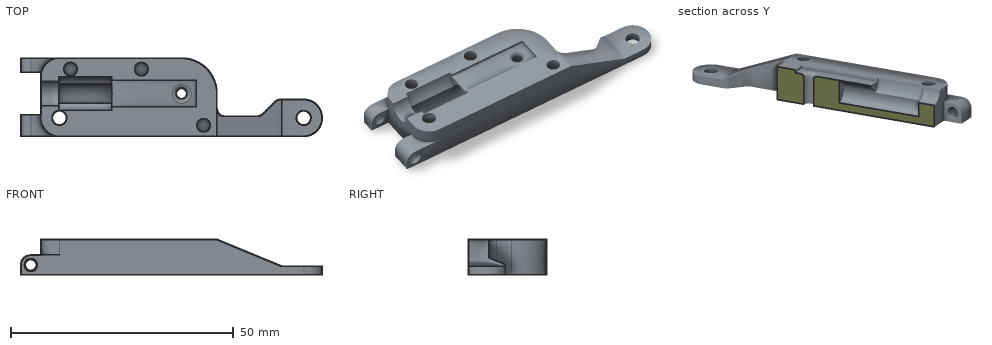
import cadquery as cq
import math

LENGTH = 67.86
WIDTH = 17.65
HEIGHT = 8.0

LUG_LENGTH = 4.5
LUG_HEIGHT = 4.5
LUG_RADIUS = LUG_HEIGHT / 2
FRONT_LUG_WIDTH = 4.9
REAR_LUG_WIDTH = 3.25
FRONT_HINGE_HOLE_DIAMETER = 2.85
REAR_HINGE_HOLE_DIAMETER = 2.5

BODY_LEFT = LUG_LENGTH
BODY_RIGHT = 44.17
RIGHT_CORNER_RADIUS = 8.0
LEFT_CORNER_RADIUS = 4.17

TIP_RADIUS = LEFT_CORNER_RADIUS
TIP_THICKNESS = 2.0
RAMP_END = 58.7
NECK_WIDTH = 4.57
NECK_FILLET = 1.7
NECK_BEND_RADIUS = 1.9
NECK_RISE_START = 54.0
NECK_RISE_ANGLE = 45.0

SCREW_HOLE_DIAMETER = 3.2
TIP_HOLE_X = LENGTH - TIP_RADIUS
SCREW_HOLE_SPACING = 55.0
SCREW_HOLES = [(TIP_HOLE_X - SCREW_HOLE_SPACING, TIP_RADIUS), (TIP_HOLE_X, TIP_RADIUS)]

SOCKET_DIAMETER = 3.0
SOCKET_DEPTH = 3.0
SOCKETS = [(11.2, 15.15), (27.15, 15.15), (41.15, 2.5)]

AXIS_Y = 9.65
ENTRY_RADIUS = 2.75
POCKET_START = 8.5
POCKET_END = 20.5
POCKET_RADIUS = 3.75
BORE_RADIUS = 2.275
BORE_HEIGHT = 4.2
BORE_PEAK_HEIGHT = 7.0
BORE_END = 28.5
CHANNEL_END = 39.5
CHANNEL_WIDTH = 6.0
CHANNEL_DEPTH = 0.7

PIN_X = 36.18
PIN_DIAMETER = 2.34
PIN_HOLE_LIP_RADIUS = 1.0


def box(x_range, y_range, z_range):
    """Axis-aligned box between the given limits."""
    size = [high - low for low, high in (x_range, y_range, z_range)]
    corner = (x_range[0], y_range[0], z_range[0])
    return cq.Workplane("XY").box(*size, centered=False).translate(corner)


def rod_along_x(radius, z, x_start, x_end):
    """Cylinder on the recess centre line at height z."""
    rod = cq.Workplane("YZ", origin=(x_start, AXIS_Y, z))
    return rod.circle(radius).extrude(x_end - x_start)


def make_side_profile():
    """Side outline (lug nose, body, ramp and arm), extruded over the full width."""
    nose = LUG_RADIUS * math.sqrt(0.5)
    return (
        cq.Workplane("XZ")
        .moveTo(0, 0)
        .lineTo(LENGTH, 0)
        .lineTo(LENGTH, TIP_THICKNESS)
        .lineTo(RAMP_END, TIP_THICKNESS)
        .lineTo(BODY_RIGHT, HEIGHT)
        .lineTo(BODY_LEFT, HEIGHT)
        .lineTo(BODY_LEFT, LUG_HEIGHT)
        .lineTo(LUG_RADIUS, LUG_HEIGHT)
        .threePointArc((LUG_RADIUS - nose, LUG_RADIUS + nose), (0, LUG_RADIUS))
        .close()
        .extrude(-WIDTH)
    )


def make_plan():
    """Plan outline (body with its large corner, neck and rounded tip), extruded to full height."""
    tip_width = 2 * TIP_RADIUS
    rise_run = (tip_width - NECK_WIDTH) / math.tan(math.radians(NECK_RISE_ANGLE))
    rise_end = NECK_RISE_START + rise_run
    plan = (
        cq.Workplane("XY")
        .moveTo(0, 0)
        .lineTo(TIP_HOLE_X, 0)
        .threePointArc((LENGTH, TIP_RADIUS), (TIP_HOLE_X, tip_width))
        .lineTo(rise_end, tip_width)
        .lineTo(NECK_RISE_START, NECK_WIDTH)
        .lineTo(BODY_RIGHT, NECK_WIDTH)
        .lineTo(BODY_RIGHT, WIDTH)
        .lineTo(0, WIDTH)
        .close()
        .extrude(HEIGHT)
    )

    def round_edge(solid, x, y, radius):
        picker = cq.selectors.NearestToPointSelector((x, y, HEIGHT / 2))
        return solid.edges("|Z").edges(picker).fillet(radius)

    plan = round_edge(plan, BODY_RIGHT, WIDTH, RIGHT_CORNER_RADIUS)
    plan = round_edge(plan, BODY_RIGHT, NECK_WIDTH, NECK_FILLET)
    plan = round_edge(plan, NECK_RISE_START, NECK_WIDTH, NECK_BEND_RADIUS)
    return round_edge(plan, rise_end, tip_width, NECK_BEND_RADIUS)


def round_left_corners(part):
    """Round the two left corners of the body above the lugs."""
    reach = LEFT_CORNER_RADIUS
    centre_x = BODY_LEFT + reach
    x_range = (BODY_LEFT, centre_x)
    z_range = (LUG_HEIGHT, HEIGHT)
    for edge_y, centre_y in ((0, reach), (WIDTH, WIDTH - reach)):
        corner = box(x_range, sorted((edge_y, centre_y)), z_range)
        post = cq.Workplane("XY", origin=(centre_x, centre_y, LUG_HEIGHT))
        rounding = post.circle(reach).extrude(HEIGHT - LUG_HEIGHT)
        part = part.cut(corner.cut(rounding))
    return part


def cut_hinge(part):
    """Open the gap between the lugs and drill the hinge pin hole."""
    gap = box((0, BODY_LEFT), (FRONT_LUG_WIDTH, WIDTH - REAR_LUG_WIDTH), (0, HEIGHT))
    pin_axis = cq.Workplane("XZ").center(LUG_RADIUS, LUG_RADIUS)
    rear_hole = pin_axis.circle(REAR_HINGE_HOLE_DIAMETER / 2).extrude(-WIDTH)
    front_hole = pin_axis.circle(FRONT_HINGE_HOLE_DIAMETER / 2).extrude(-FRONT_LUG_WIDTH)
    return part.cut(gap).cut(rear_hole).cut(front_hole)


def make_bore():
    """Round bore with a peaked roof whose flanks are tangent to the round."""
    rise = BORE_PEAK_HEIGHT - BORE_HEIGHT
    tangent_angle = math.acos(BORE_RADIUS / rise)
    half_width = BORE_RADIUS * math.sin(tangent_angle)
    shoulder = BORE_RADIUS * math.cos(tangent_angle)
    return (
        cq.Workplane("YZ", origin=(POCKET_START, AXIS_Y, BORE_HEIGHT))
        .moveTo(0, rise)
        .lineTo(-half_width, shoulder)
        .threePointArc((0, -BORE_RADIUS), (half_width, shoulder))
        .close()
        .extrude(BORE_END - POCKET_START)
    )


def cut_recess(part):
    """Entry groove, wide pocket, bore below it and shallow channel, from left to right."""
    half_channel = CHANNEL_WIDTH / 2
    channel = box(
        (POCKET_END, CHANNEL_END),
        (AXIS_Y - half_channel, AXIS_Y + half_channel),
        (HEIGHT - CHANNEL_DEPTH, HEIGHT),
    )
    part = part.cut(rod_along_x(ENTRY_RADIUS, HEIGHT, BODY_LEFT, POCKET_START))
    part = part.cut(rod_along_x(POCKET_RADIUS, HEIGHT, POCKET_START, POCKET_END))
    return part.cut(make_bore()).cut(channel)


def drill_holes(part):
    """Screw holes, blind sockets and the hole in the channel floor."""
    screws = cq.Workplane("XY").pushPoints(SCREW_HOLES).circle(SCREW_HOLE_DIAMETER / 2).extrude(HEIGHT)
    socket_floor = cq.Workplane("XY", origin=(0, 0, HEIGHT - SOCKET_DEPTH))
    sockets = socket_floor.pushPoints(SOCKETS).circle(SOCKET_DIAMETER / 2).extrude(SOCKET_DEPTH)
    pin_floor = HEIGHT - CHANNEL_DEPTH
    pin = cq.Workplane("XY").center(PIN_X, AXIS_Y).circle(PIN_DIAMETER / 2).extrude(HEIGHT)
    part = part.cut(screws).cut(sockets).cut(pin)
    lip = cq.selectors.NearestToPointSelector((PIN_X, AXIS_Y, pin_floor))
    return part.edges("%CIRCLE").edges(lip).fillet(PIN_HOLE_LIP_RADIUS)


result = make_side_profile().intersect(make_plan())
result = round_left_corners(result)
result = cut_hinge(result)
result = cut_recess(result)
result = drill_holes(result)